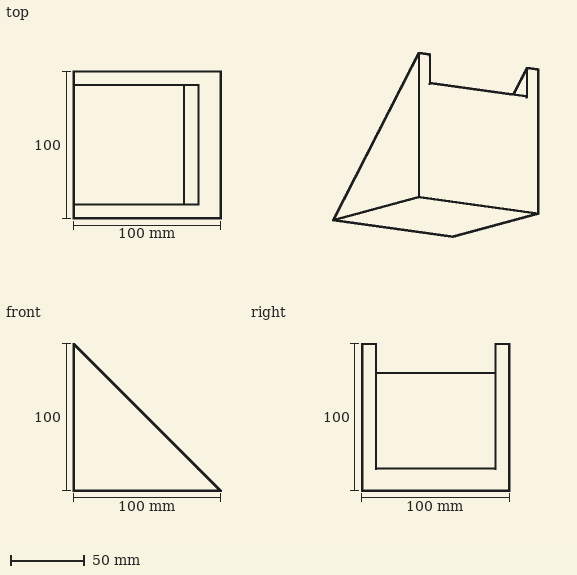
import math

import cadquery as cq

side = 100.0
wall = 9.5
pocket_length = 120.0
pocket_depth = 14.0

slope_angle = math.radians(45)
pocket_end_x = pocket_length * math.cos(slope_angle)
floor_end_x = pocket_end_x - pocket_depth * math.sin(slope_angle)
floor_drop = pocket_depth / math.cos(slope_angle)


def slope_z(x):
    """Height of the sloping face at x."""
    return side - x


def extrude_profile(points, y_start, y_end):
    """Extrude an XZ outline from y_start to y_end."""
    return (
        cq.Workplane("XZ", origin=(0, y_start, 0))
        .polyline(points)
        .close()
        .extrude(y_start - y_end)
    )


def make_wedge():
    """Right-angled wedge with its upright face at x = 0."""
    return extrude_profile([(0, 0), (side, 0), (0, side)], 0, side)


def make_pocket():
    """Pocket parallel to the slope, open at the upright face, with a square end wall."""
    outline = [
        (0, slope_z(0)),
        (0, slope_z(0) - floor_drop),
        (floor_end_x, slope_z(floor_end_x) - floor_drop),
        (pocket_end_x, slope_z(pocket_end_x)),
    ]
    return extrude_profile(outline, wall, side - wall)


result = make_wedge().cut(make_pocket())